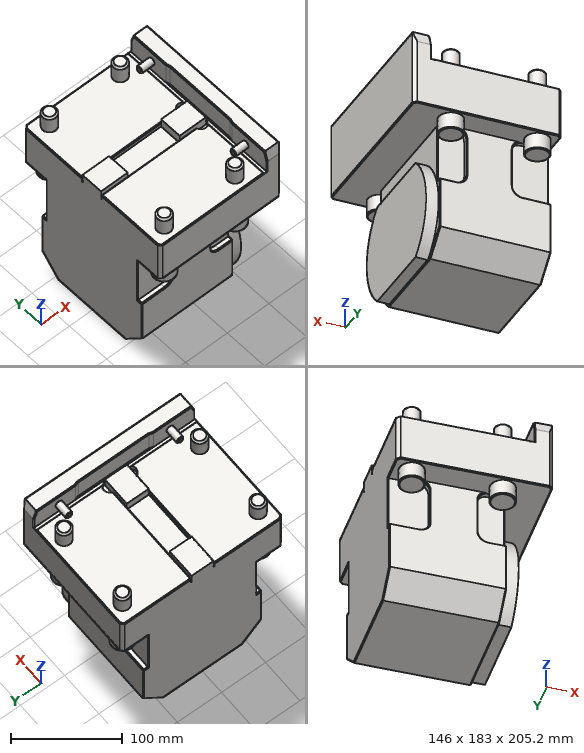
import cadquery as cq

length = 146.0
width = 183.0
height = 205.2
flange_bottom = 130.1
flange_top = 180.0
corner_chamfer = 3.3
edge_chamfer = 1.0

overlap = 4.1

wall_face = 128.5
wall_bevel_height = 11.0
wall_bevel_width = 3.5
wall_recess_depth = 1.2
wall_recess_width = 88.7
wall_recess_floor_width = 80.5

groove_start = 125.0
groove_depth = 0.8

body_length = 109.6
body_width = 134.2
body_chamfer = 22.0
boss_diameter = 129.3
boss_flat_height = 99.0
boss_height = 12.1
boss_center_z = 50.0

pocket_depth = 5.5
pocket_bottom = 73.0
pocket_radius = 10.0
front_pocket_end = 38.0
rear_pocket_start = 83.1

bolt_diameter = 16.0
bolt_head_diameter = 24.0
bolt_head_height = 16.0
bolt_top = 200.5
bolt_tip_chamfer = 2.0
bolt_head_chamfer = 1.0
bolt_first_x = 18.0
bolt_spacing_x = 85.0
bolt_y = 77.0

pin_diameter = 8.0
pin_tip_chamfer = 1.0
pin_start = 112.9
pin_y = 63.0
pin_z = 192.3

slot_width = 25.0
slot_floor = 174.7
key_top = 185.1
first_key_end = 32.0
second_key_start = 94.5
second_key_end = 126.2
relief_diameter = 12.7
relief_x = 120.3
relief_y = 12.0


def block(x_start, x_end, y_size, z_start, z_end):
    """Box centred on Y = 0 between the given X and Z limits."""
    size_x = x_end - x_start
    size_z = z_end - z_start
    corner = (x_start, -y_size / 2, z_start)
    return cq.Workplane("XY").box(size_x, y_size, size_z, centered=False).translate(corner)


def make_plate():
    """Flange plate with chamfered corners and rims, and the groove along the wall foot."""
    plate = block(0, length, width, flange_bottom, flange_top)
    plate = plate.edges("|Z").chamfer(corner_chamfer)
    plate = plate.faces("<Z or >Z").edges().chamfer(edge_chamfer)
    return plate.cut(block(groove_start, wall_face, width, flange_top - groove_depth, flange_top))


def make_wall():
    """End wall with bevelled upper ends and a wide shallow recess in its face."""
    wall = block(wall_face, length, width, flange_bottom + overlap, height)
    wall = wall.faces(">X").edges("|Z").chamfer(corner_chamfer)
    for side in (1, -1):
        bevel = (
            cq.Workplane("YZ")
            .moveTo(side * width / 2, height)
            .lineTo(side * (width / 2 - wall_bevel_width), height)
            .lineTo(side * width / 2, height - wall_bevel_height)
            .close()
            .extrude(length)
        )
        wall = wall.cut(bevel)
    wall = wall.faces("<X").edges("not |Y").chamfer(edge_chamfer)
    recess = (
        cq.Workplane("XY")
        .workplane(offset=flange_top - groove_depth)
        .moveTo(wall_face, -wall_recess_width / 2)
        .lineTo(wall_face + wall_recess_depth, -wall_recess_floor_width / 2)
        .lineTo(wall_face + wall_recess_depth, wall_recess_floor_width / 2)
        .lineTo(wall_face, wall_recess_width / 2)
        .close()
        .extrude(height - flange_top + groove_depth)
    )
    wall = wall.cut(recess)
    return wall.faces(">Z").edges("not |X").chamfer(edge_chamfer)


def make_body():
    """Body with chamfered bottom, side pockets and end rims; its top reaches into the plate."""
    body = block(0, body_length, body_width, 0, flange_bottom + overlap)
    body = body.faces("<Z").edges("|X").chamfer(body_chamfer)
    for x_start, x_end, inner_face in (
        (0, front_pocket_end, ">X"),
        (rear_pocket_start, body_length, "<X"),
    ):
        pocket = block(x_start, x_end, pocket_depth, pocket_bottom, flange_bottom)
        pocket = pocket.faces(inner_face).edges("|Y").fillet(pocket_radius)
        for side in (1, -1):
            body = body.cut(pocket.translate((0, side * (body_width - pocket_depth) / 2, 0)))
    rims = body.faces("<Y or >Y").edges("not (<Z or >Z)")
    rims = rims.add(body.faces("<X or >X").edges("not >Z"))
    return rims.chamfer(edge_chamfer)


def make_boss():
    """Round boss on the end of the body, cut flat at its top and bottom."""
    disc = (
        cq.Workplane("YZ")
        .workplane(offset=body_length)
        .center(0, boss_center_z)
        .circle(boss_diameter / 2)
        .extrude(boss_height)
    )
    flats = block(
        body_length,
        body_length + boss_height,
        boss_diameter,
        boss_center_z - boss_flat_height / 2,
        boss_center_z + boss_flat_height / 2,
    )
    return disc.intersect(flats)


def cut_slot(part):
    """Cut the key slot, with chamfered rims, and the round reliefs at its wall end."""
    slot = block(0, wall_face, slot_width, slot_floor, flange_top)
    mouth_width = slot_width + 2 * edge_chamfer
    top_rim = (
        cq.Workplane("YZ")
        .moveTo(-mouth_width / 2, flange_top)
        .lineTo(0, flange_top - mouth_width / 2)
        .lineTo(mouth_width / 2, flange_top)
        .close()
        .extrude(second_key_end)
        .intersect(block(0, wall_face, mouth_width, slot_floor, flange_top))
    )
    end_rim = (
        cq.Workplane("XY")
        .workplane(offset=slot_floor)
        .moveTo(0, -mouth_width / 2)
        .lineTo(mouth_width / 2, 0)
        .lineTo(0, mouth_width / 2)
        .close()
        .extrude(flange_top - slot_floor)
    )
    reliefs = (
        cq.Workplane("XY")
        .workplane(offset=slot_floor)
        .pushPoints([(relief_x, relief_y), (relief_x, -relief_y)])
        .circle(relief_diameter / 2)
        .extrude(flange_top - slot_floor)
    )
    return part.cut(slot).cut(top_rim).cut(end_rim).cut(reliefs)


def make_bolt():
    """Upright bolt with its head below the flange."""
    head = (
        cq.Workplane("XY")
        .workplane(offset=flange_bottom - bolt_head_height)
        .circle(bolt_head_diameter / 2)
        .extrude(bolt_head_height)
        .faces("<Z")
        .chamfer(bolt_head_chamfer)
    )
    shank = (
        cq.Workplane("XY")
        .workplane(offset=flange_bottom)
        .circle(bolt_diameter / 2)
        .extrude(bolt_top - flange_bottom)
        .faces(">Z")
        .chamfer(bolt_tip_chamfer)
    )
    return head.union(shank)


def make_pin():
    """Pin along X, rooted in the wall, with a chamfered tip."""
    return (
        cq.Workplane("YZ")
        .workplane(offset=pin_start)
        .circle(pin_diameter / 2)
        .extrude(length - corner_chamfer - pin_start)
        .faces("<X")
        .chamfer(pin_tip_chamfer)
    )


result = make_plate().union(make_wall()).union(make_body()).union(make_boss())
result = cut_slot(result)

for key_start, key_end in ((0, first_key_end), (second_key_start, second_key_end)):
    result = result.union(block(key_start, key_end, slot_width, slot_floor, key_top))

for bolt_side in (1, -1):
    for bolt_x in (bolt_first_x, bolt_first_x + bolt_spacing_x):
        result = result.union(make_bolt().translate((bolt_x, bolt_side * bolt_y, 0)))

for pin_side in (1, -1):
    result = result.union(make_pin().translate((0, pin_side * pin_y, pin_z)))